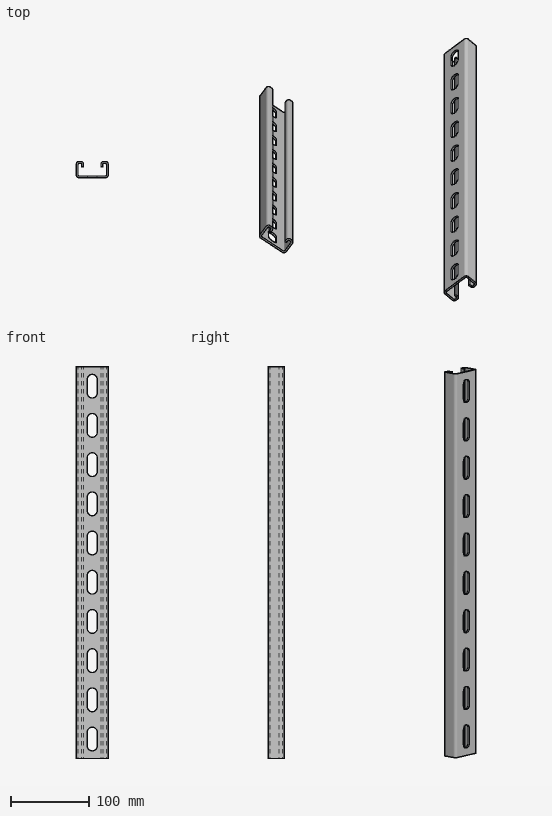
import cadquery as cq

width = 41.0
depth = 21.0
length = 500.0

thickness = 2.5
inner_bend_radius = 1.25
outer_bend_radius = inner_bend_radius + thickness
mouth_width = 21.8
lip_depth = 7.0

slot_width = 12.5
slot_length = 30.0
slot_pitch = 50.0
slot_count = round(length / slot_pitch)

web_outside = -depth / 2
web_inside = web_outside + thickness
mouth_face = depth / 2
return_inside = mouth_face - thickness
lip_end = mouth_face - lip_depth
flange_outside = width / 2
flange_inside = flange_outside - thickness
lip_face = mouth_width / 2
lip_back = lip_face + thickness


def round_corners(bar, corners, radius):
    """Fillet the long edges of the bar that pass through the given XY corners."""
    for x, y in corners:
        bar = bar.edges(cq.NearestToPointSelector((x, y, 0))).fillet(radius)
    return bar


def make_half_channel():
    """The +X half: half of the web, one flange and its inward-turned lip."""
    outer_corners = [
        (flange_outside, web_outside),
        (flange_outside, mouth_face),
        (lip_face, mouth_face),
    ]
    inner_corners = [
        (lip_back, return_inside),
        (flange_inside, return_inside),
        (flange_inside, web_inside),
    ]
    outline = [
        (0, web_outside),
        *outer_corners,
        (lip_face, lip_end),
        (lip_back, lip_end),
        *inner_corners,
        (0, web_inside),
    ]
    half = cq.Workplane("XY").polyline(outline).close().extrude(length / 2, both=True)
    half = round_corners(half, outer_corners, outer_bend_radius)
    return round_corners(half, inner_corners, inner_bend_radius)


def make_channel():
    """Complete C-channel, symmetric about the YZ plane."""
    half = make_half_channel()
    return half.union(half.mirror("YZ")).clean()


def make_slots():
    """Evenly spaced slots, long in Z, through the web."""
    return (
        cq.Workplane("XZ", origin=(0, web_inside, 0))
        .rarray(1, slot_pitch, 1, slot_count)
        .slot2D(slot_length, slot_width, 90)
        .extrude(thickness)
    )


result = make_channel().cut(make_slots())